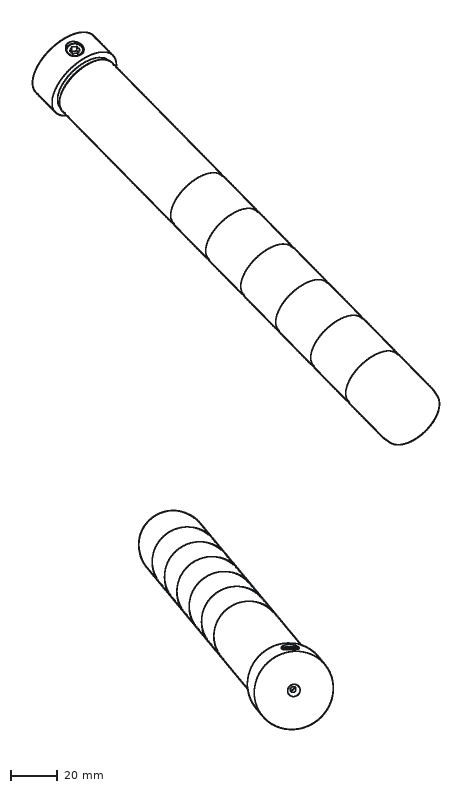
import cadquery as cq
import math

total_length = 250.0
head_diameter = 35.0
head_length = 14.0
shaft_diameter = 30.0
shaft_radius = shaft_diameter / 2

neck_depth = 0.5
neck_flat_length = 1.5
neck_length = 2.0

taper_length = 3.0
taper_drop = 0.5
nose_length = 2.0
nose_drop = 2.0

groove_count = 6
first_groove_x = 95.0
groove_pitch = 25.0
groove_width = 3.0
groove_depth = 0.38

screw_x = 7.2
screw_mouth_diameter = 8.5
screw_diameter = 7.0
screw_recess = 1.0
socket_across_flats = 3.8
socket_depth = 3.0

centre_mouth_diameter = 5.5
centre_hole_diameter = 2.5
centre_cone_depth = (centre_mouth_diameter - centre_hole_diameter) / 2
centre_hole_depth = 5.0


def make_body():
    """Revolve the half profile of head, neck, shaft and lead-in about X."""
    neck_radius = shaft_radius - neck_depth
    taper_end_x = total_length - nose_length
    taper_end_radius = shaft_radius - taper_drop
    bulge = 0.5 ** 0.5
    nose_middle = (
        taper_end_x + nose_length * bulge,
        taper_end_radius - nose_drop * (1 - bulge),
    )
    return (
        cq.Workplane("XY")
        .lineTo(0, head_diameter / 2)
        .lineTo(head_length, head_diameter / 2)
        .lineTo(head_length, neck_radius)
        .lineTo(head_length + neck_flat_length, neck_radius)
        .lineTo(head_length + neck_length, shaft_radius)
        .lineTo(taper_end_x - taper_length, shaft_radius)
        .lineTo(taper_end_x, taper_end_radius)
        .threePointArc(nose_middle, (total_length, taper_end_radius - nose_drop))
        .lineTo(total_length, 0)
        .close()
        .revolve(360, (0, 0, 0), (1, 0, 0))
    )


def make_groove(centre_x):
    """Ring with a V-shaped section that cuts one groove into the shaft."""
    half_width = groove_width / 2
    return (
        cq.Workplane("XY")
        .moveTo(centre_x - half_width, shaft_radius)
        .lineTo(centre_x, shaft_radius - groove_depth)
        .lineTo(centre_x + half_width, shaft_radius)
        .close()
        .revolve(360, (0, 0, 0), (1, 0, 0))
    )


def make_screw_recess():
    """Countersunk recess down to the screw face, with a hexagon socket below it."""
    countersink_depth = (screw_mouth_diameter - screw_diameter) / 2
    socket_across_corners = socket_across_flats / math.cos(math.pi / 6)
    top = cq.Workplane("XY", origin=(screw_x, 0, head_diameter / 2))
    bore = top.circle(screw_diameter / 2).extrude(-screw_recess)
    countersink = (
        top.circle(screw_mouth_diameter / 2)
        .workplane(offset=-countersink_depth)
        .circle(screw_diameter / 2)
        .loft()
    )
    socket = top.polygon(6, socket_across_corners).extrude(-(screw_recess + socket_depth))
    return bore.union(countersink).union(socket)


def make_centre_hole():
    """Centre-drilled hole: a 45 degree cone leading into a small bore."""
    return (
        cq.Workplane("XY")
        .lineTo(0, centre_mouth_diameter / 2)
        .lineTo(centre_cone_depth, centre_hole_diameter / 2)
        .lineTo(centre_hole_depth, centre_hole_diameter / 2)
        .lineTo(centre_hole_depth, 0)
        .close()
        .revolve(360, (0, 0, 0), (1, 0, 0))
    )


result = make_body()
for index in range(groove_count):
    result = result.cut(make_groove(first_groove_x + index * groove_pitch))
result = result.cut(make_screw_recess()).cut(make_centre_hole())